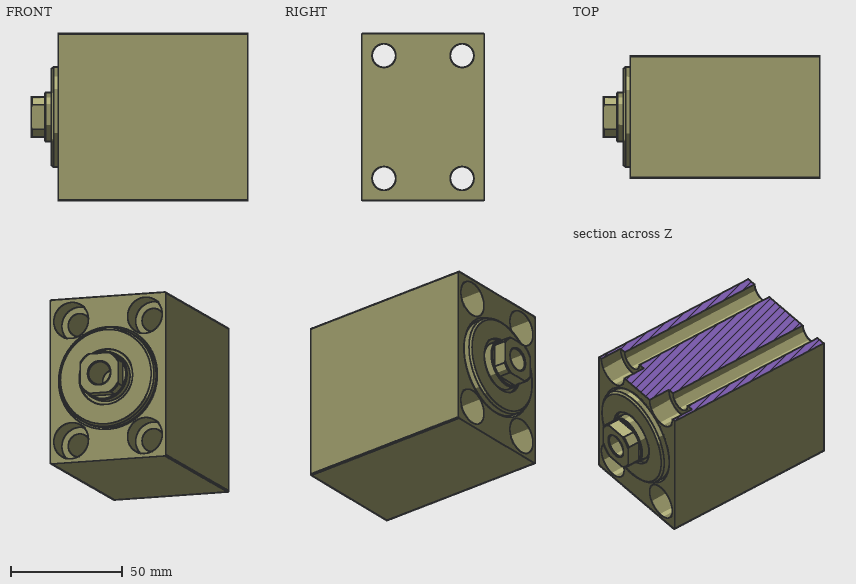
import cadquery as cq
import math

TOTAL_LENGTH = 97.0
ROD_REACH = 12.0
BLOCK_LENGTH = TOTAL_LENGTH - ROD_REACH
BLOCK_WIDTH = 55.0
BLOCK_HEIGHT = 75.0
BLOCK_CHAMFER = 0.5

BOLT_SPACING_Y = 35.0
BOLT_SPACING_Z = 55.0
BOLT_HOLE_DIAMETER = 10.5
COUNTERBORE_DIAMETER = 16.5
COUNTERBORE_DEPTH = 11.0

GLAND_DIAMETER = 45.0
GLAND_PROTRUSION = 3.0
GLAND_SEAT_DEPTH = 19.4
GLAND_CHAMFER = 1.0
SEAT_CHAMFER = 1.0
WIPER_DIAMETER = 25.4
WIPER_DEPTH = 1.5

ROD_DIAMETER = 22.0
ROD_CHAMFER = 0.5
TIP_LENGTH = 6.0
TIP_DIAMETER = ROD_DIAMETER - 2 * ROD_CHAMFER
TIP_CHAMFER = 0.4
TIP_ACROSS_FLATS = 18.0
DRILL_DIAMETER = 10.3
DRILL_DEPTH = 19.4
DRILL_POINT_ANGLE = 118.0
DRILL_CHAMFER = 0.4


def cylinder(diameter, start, length):
    """Cylinder on the X axis, running from X = start towards +X."""
    return cq.Workplane("YZ", origin=(start, 0, 0)).circle(diameter / 2).extrude(length)


def make_seat_mouth():
    """Cone that bevels the mouth of the gland seat."""
    seat_radius = GLAND_DIAMETER / 2
    return (
        cq.Workplane("XY")
        .moveTo(0, 0)
        .lineTo(0, seat_radius + SEAT_CHAMFER)
        .lineTo(SEAT_CHAMFER, seat_radius)
        .lineTo(SEAT_CHAMFER, 0)
        .close()
        .revolve(360, (0, 0, 0), (1, 0, 0))
    )


def make_block():
    block = (
        cq.Workplane("YZ")
        .rect(BLOCK_WIDTH, BLOCK_HEIGHT)
        .extrude(BLOCK_LENGTH)
        .edges("|X")
        .chamfer(BLOCK_CHAMFER)
    )
    corners = cq.Workplane("YZ").rect(BOLT_SPACING_Y, BOLT_SPACING_Z, forConstruction=True).vertices()
    bolt_holes = corners.circle(BOLT_HOLE_DIAMETER / 2).extrude(BLOCK_LENGTH)
    counterbores = corners.circle(COUNTERBORE_DIAMETER / 2).extrude(COUNTERBORE_DEPTH)
    seat = cylinder(GLAND_DIAMETER, 0, GLAND_SEAT_DEPTH)
    return block.cut(bolt_holes).cut(counterbores).cut(seat).cut(make_seat_mouth())


def make_gland():
    gland = cylinder(GLAND_DIAMETER, -GLAND_PROTRUSION, GLAND_PROTRUSION + GLAND_SEAT_DEPTH)
    gland = gland.faces("<X").chamfer(GLAND_CHAMFER)
    wiper_recess = cylinder(WIPER_DIAMETER, -GLAND_PROTRUSION, WIPER_DEPTH)
    rod_bore = cylinder(ROD_DIAMETER, -GLAND_PROTRUSION, GLAND_PROTRUSION + GLAND_SEAT_DEPTH)
    return gland.cut(wiper_recess).cut(rod_bore)


def make_drilled_hole():
    """Solid of the blind hole: chamfered mouth, straight wall and conical end."""
    radius = DRILL_DIAMETER / 2
    point_length = radius / math.tan(math.radians(DRILL_POINT_ANGLE / 2))
    bottom = -ROD_REACH + DRILL_DEPTH
    return (
        cq.Workplane("XY")
        .moveTo(-ROD_REACH, 0)
        .lineTo(-ROD_REACH, radius + DRILL_CHAMFER)
        .lineTo(-ROD_REACH + DRILL_CHAMFER, radius)
        .lineTo(bottom, radius)
        .lineTo(bottom + point_length, 0)
        .close()
        .revolve(360, (0, 0, 0), (1, 0, 0))
    )


def make_rod():
    shoulder = -ROD_REACH + TIP_LENGTH
    shank = cylinder(ROD_DIAMETER, shoulder, GLAND_SEAT_DEPTH - shoulder).faces("<X").chamfer(ROD_CHAMFER)
    round_tip = cylinder(TIP_DIAMETER, -ROD_REACH, TIP_LENGTH).faces("<X").chamfer(TIP_CHAMFER)
    square = (
        cq.Workplane("YZ", origin=(-ROD_REACH, 0, 0))
        .rect(TIP_ACROSS_FLATS, TIP_ACROSS_FLATS)
        .extrude(TIP_LENGTH)
    )
    return shank.union(round_tip.intersect(square)).cut(make_drilled_hole())


block = make_block()
gland = make_gland()
rod = make_rod()

result = cq.Compound.makeCompound([block.val(), gland.val(), rod.val()])